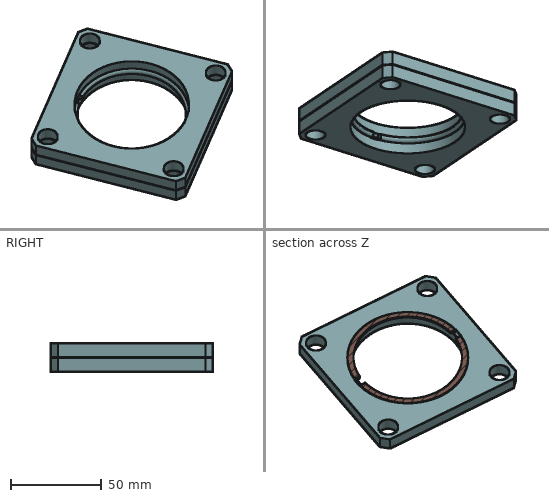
import cadquery as cq

side = 90.0
height = 16.0
plate_gap = 0.4
plate_thickness = (height - plate_gap) / 2
corner_chamfer = 4.05

bolt_diameter = 11.0
bolt_spacing = 73.6
bore_diameter = 63.5

ring_section_radius = 1.8
ring_split_width = 5.2


def make_plate(bottom_z):
    """Square plate with cut corners, four bolt holes and the central bore."""
    return (
        cq.Workplane("XY", origin=(0, 0, bottom_z))
        .rect(side, side)
        .extrude(plate_thickness)
        .edges("|Z")
        .chamfer(corner_chamfer)
        .faces(">Z")
        .workplane()
        .rect(bolt_spacing, bolt_spacing, forConstruction=True)
        .vertices()
        .hole(bolt_diameter)
        .faces(">Z")
        .workplane()
        .hole(bore_diameter)
    )


def make_ring():
    """Full ring centred on the bore wall, midway up the block."""
    return (
        cq.Workplane("XZ")
        .center(bore_diameter / 2, 0)
        .circle(ring_section_radius)
        .revolve(360, (-bore_diameter / 2, 0), (-bore_diameter / 2, 1))
    )


plates = make_plate(plate_gap / 2).union(make_plate(-height / 2))

ring = make_ring()
ring_splits = cq.Workplane("XY").box(side, ring_split_width, height)
result = plates.cut(ring).union(ring.cut(ring_splits))